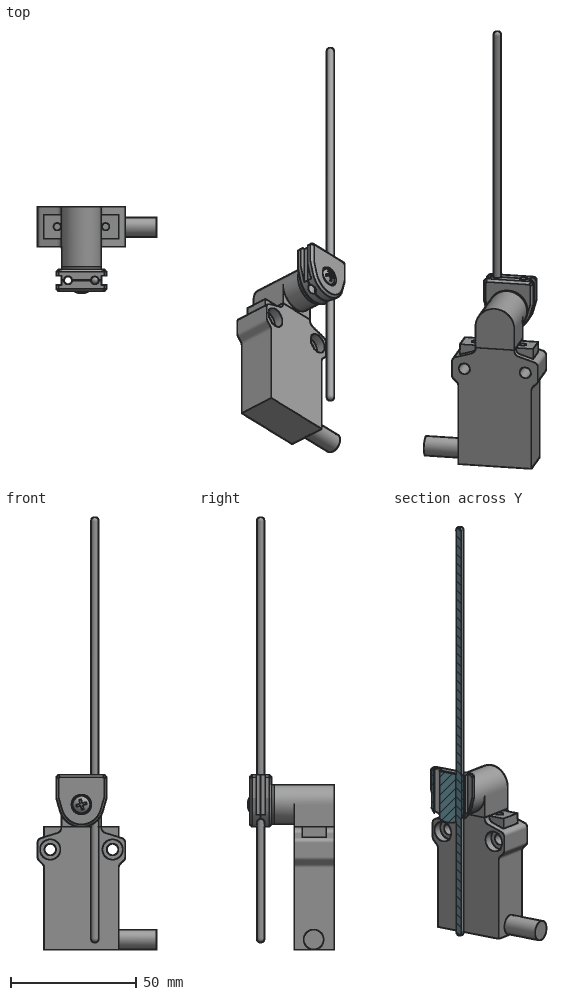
import cadquery as cq
import math


TOTAL_HEIGHT = 172.9

HOUSING_WIDTH = 29.9
HOUSING_DEPTH = 16.0
HOUSING_TOP = 49.3

HEAD_RADIUS = 8.0
HEAD_LENGTH = 24.0
AXIS_Z = 58.0

EAR_SPAN = 35.1
EAR_TOP_SLOPE = 17.0
EAR_LOWER_CORNER_Z = 36.3
EAR_ROUNDING = 1.9
NECK_CORNER_Z = 47.2
NECK_FILLET = 2.5

MOUNT_HOLE_X = 12.5
MOUNT_HOLE_Z = 40.1
MOUNT_HOLE_DIAMETER = 4.5
MOUNT_BORE_DIAMETER = 8.1
MOUNT_BORE_DEPTH = 4.0

BLOCK_DEPTH = 9.7
BLOCK_HOLE_X = 9.7
BLOCK_HOLE_DIAMETER = 3.0
BLOCK_HOLE_DEPTH = 1.7

CABLE_DIAMETER = 8.0
CABLE_LENGTH = 15.0
CABLE_Y = -8.3
CABLE_Z = 4.1

HUB_LENGTH = 1.0
CLAMP_WIDTH = 20.2
CLAMP_TOP = 70.0
CLAMP_SHOULDER_Z = 60.7
CLAMP_END_RADIUS = 9.0
CLAMP_THICKNESS = 8.8
CLAMP_GAP = 0.2
CLAMP_CHAMFER = 1.0
CLAMP_WAIST_WIDTH = 16.0
CLAMP_GROOVE_WIDTH = 3.6

ROD_DIAMETER = 3.1
ROD_X = 5.4
ROD_BOTTOM = 3.0

SCREW_RECESS_DIAMETER = 8.0
SCREW_RECESS_DEPTH = 1.7
SCREW_HEAD_DIAMETER = 7.0
SCREW_RISE = 0.9
SCREW_DOME_HEIGHT = 1.4
CROSS_LENGTH = 4.1
CROSS_WIDTH = 0.9
CROSS_DEPTH = 1.0
CROSS_ANGLE = 15.0

HALF_WIDTH = HOUSING_WIDTH / 2
HALF_EAR_SPAN = EAR_SPAN / 2
HOUSING_MID_Y = -HOUSING_DEPTH / 2
CLAMP_BACK_Y = -(HEAD_LENGTH + HUB_LENGTH)
CLAMP_SPLIT_Y = CLAMP_BACK_Y - CLAMP_THICKNESS / 2
CLAMP_FRONT_Y = CLAMP_BACK_Y - CLAMP_THICKNESS


def cylinder_along_y(x, z, diameter, start_y, length):
    """Cylinder that runs from start_y towards -Y."""
    return cq.Workplane("XZ", origin=(x, start_y, z)).circle(diameter / 2).extrude(length)


def block(x_size, y_size, z_size, center):
    return cq.Workplane("XY").box(x_size, y_size, z_size).translate(center)


def make_housing_shell():
    slope_drop = (HALF_EAR_SPAN - HEAD_RADIUS) * math.tan(math.radians(EAR_TOP_SLOPE))
    ear_undercut = HALF_EAR_SPAN - HALF_WIDTH
    right_side = [
        (HALF_WIDTH, 0),
        (HALF_WIDTH, EAR_LOWER_CORNER_Z - ear_undercut),
        (HALF_EAR_SPAN, EAR_LOWER_CORNER_Z),
        (HALF_EAR_SPAN, NECK_CORNER_Z - slope_drop),
        (HEAD_RADIUS, NECK_CORNER_Z),
        (HEAD_RADIUS, HOUSING_TOP),
    ]
    left_side = [(-x, z) for x, z in reversed(right_side)]
    shell = cq.Workplane("XZ").polyline(right_side + left_side).close().extrude(HOUSING_DEPTH)

    zone_split_z = (NECK_CORNER_Z + MOUNT_HOLE_Z + MOUNT_BORE_DIAMETER / 2) / 2
    lower_ear_z = EAR_LOWER_CORNER_Z / 2
    upper_neck_z = (NECK_CORNER_Z + HOUSING_TOP) / 2
    ear_zone = cq.selectors.BoxSelector(
        (-EAR_SPAN, -HOUSING_DEPTH, lower_ear_z), (EAR_SPAN, 0, zone_split_z)
    )
    neck_zone = cq.selectors.BoxSelector(
        (-EAR_SPAN, -HOUSING_DEPTH, zone_split_z), (EAR_SPAN, 0, upper_neck_z)
    )
    shell = shell.edges("|Y").edges(ear_zone).fillet(EAR_ROUNDING)
    return shell.edges("|Y").edges(neck_zone).fillet(NECK_FILLET)


def make_housing():
    housing = make_housing_shell()
    block_bottom = MOUNT_HOLE_Z + MOUNT_BORE_DIAMETER / 2
    block_height = HOUSING_TOP - block_bottom
    block_center = (0, HOUSING_MID_Y, block_bottom + block_height / 2)
    housing = housing.union(block(HOUSING_WIDTH, BLOCK_DEPTH, block_height, block_center))
    bore_floor_y = MOUNT_BORE_DEPTH - HOUSING_DEPTH
    for side in (-1, 1):
        mount_x = side * MOUNT_HOLE_X
        housing = housing.cut(
            cylinder_along_y(mount_x, MOUNT_HOLE_Z, MOUNT_HOLE_DIAMETER, 0, HOUSING_DEPTH)
        )
        housing = housing.cut(
            cylinder_along_y(mount_x, MOUNT_HOLE_Z, MOUNT_BORE_DIAMETER, bore_floor_y, MOUNT_BORE_DEPTH)
        )
        block_hole = (
            cq.Workplane("XY", origin=(side * BLOCK_HOLE_X, HOUSING_MID_Y, HOUSING_TOP))
            .circle(BLOCK_HOLE_DIAMETER / 2)
            .extrude(-BLOCK_HOLE_DEPTH)
        )
        housing = housing.cut(block_hole)
    return housing


def make_head():
    base_height = AXIS_Z - HOUSING_TOP
    base = block(
        2 * HEAD_RADIUS, HOUSING_DEPTH, base_height, (0, HOUSING_MID_Y, HOUSING_TOP + base_height / 2)
    )
    return base.union(cylinder_along_y(0, AXIS_Z, 2 * HEAD_RADIUS, 0, HEAD_LENGTH))


def make_cable():
    return (
        cq.Workplane("YZ", origin=(HALF_WIDTH, CABLE_Y, CABLE_Z))
        .circle(CABLE_DIAMETER / 2)
        .extrude(CABLE_LENGTH)
    )


def make_clamp_plate(start_y):
    """One half plate: straight sides, tapered tangentially into a round lower end."""
    half_width = CLAMP_WIDTH / 2
    shoulder_rise = CLAMP_SHOULDER_Z - AXIS_Z
    shoulder_distance = math.hypot(half_width, shoulder_rise)
    tangent_angle = math.atan2(shoulder_rise, half_width) - math.acos(CLAMP_END_RADIUS / shoulder_distance)
    tangent_x = CLAMP_END_RADIUS * math.cos(tangent_angle)
    tangent_z = AXIS_Z + CLAMP_END_RADIUS * math.sin(tangent_angle)
    return (
        cq.Workplane("XZ", origin=(0, start_y, 0))
        .moveTo(-half_width, CLAMP_SHOULDER_Z)
        .lineTo(-half_width, CLAMP_TOP - CLAMP_CHAMFER)
        .lineTo(-half_width + CLAMP_CHAMFER, CLAMP_TOP)
        .lineTo(half_width - CLAMP_CHAMFER, CLAMP_TOP)
        .lineTo(half_width, CLAMP_TOP - CLAMP_CHAMFER)
        .lineTo(half_width, CLAMP_SHOULDER_Z)
        .lineTo(tangent_x, tangent_z)
        .threePointArc((0, AXIS_Z - CLAMP_END_RADIUS), (-tangent_x, tangent_z))
        .close()
        .extrude((CLAMP_THICKNESS - CLAMP_GAP) / 2)
    )


def cut_grooves_and_rod_holes(plate):
    groove_depth = (CLAMP_WIDTH - CLAMP_WAIST_WIDTH) / 2
    groove_x = (CLAMP_WIDTH + CLAMP_WAIST_WIDTH) / 4
    for side in (-1, 1):
        plate = plate.cut(
            block(groove_depth, CLAMP_GROOVE_WIDTH, TOTAL_HEIGHT, (side * groove_x, CLAMP_SPLIT_Y, AXIS_Z))
        )
        plate = plate.cut(
            cq.Workplane("XY", origin=(side * ROD_X, CLAMP_SPLIT_Y, 0))
            .circle(ROD_DIAMETER / 2)
            .extrude(TOTAL_HEIGHT)
        )
    return plate


def make_back_clamp():
    plate = make_clamp_plate(CLAMP_BACK_Y).faces(">Y").edges().chamfer(CLAMP_CHAMFER)
    hub = cylinder_along_y(0, AXIS_Z, 2 * HEAD_RADIUS, -HEAD_LENGTH, HUB_LENGTH)
    return cut_grooves_and_rod_holes(plate).union(hub)


def make_front_clamp():
    plate = make_clamp_plate(CLAMP_SPLIT_Y - CLAMP_GAP / 2).faces("<Y").edges().chamfer(CLAMP_CHAMFER)
    recess_floor_y = CLAMP_FRONT_Y + SCREW_RECESS_DEPTH
    recess = cylinder_along_y(0, AXIS_Z, SCREW_RECESS_DIAMETER, recess_floor_y, SCREW_RECESS_DEPTH)
    return cut_grooves_and_rod_holes(plate).cut(recess)


def make_rod():
    radius = ROD_DIAMETER / 2
    length = TOTAL_HEIGHT - ROD_BOTTOM
    arc_offset = radius * math.sqrt(0.5)
    profile = (
        cq.Workplane("XZ")
        .threePointArc((arc_offset, radius - arc_offset), (radius, radius))
        .lineTo(radius, length - radius)
        .threePointArc((arc_offset, length - radius + arc_offset), (0, length))
        .close()
    )
    rod = profile.revolve(360, (0, 0, 0), (0, 1, 0))
    return rod.translate((ROD_X, CLAMP_SPLIT_Y, ROD_BOTTOM))


def make_screw():
    radius = SCREW_HEAD_DIAMETER / 2
    head_height = SCREW_RECESS_DEPTH + SCREW_RISE
    rim_height = head_height - SCREW_DOME_HEIGHT
    dome_radius = (radius**2 + SCREW_DOME_HEIGHT**2) / (2 * SCREW_DOME_HEIGHT)
    dome_center = head_height - dome_radius
    mid_x = radius / 2
    mid_height = dome_center + math.sqrt(dome_radius**2 - mid_x**2)
    head = (
        cq.Workplane("XY")
        .lineTo(radius, 0)
        .lineTo(radius, -rim_height)
        .threePointArc((mid_x, -mid_height), (0, -head_height))
        .close()
        .revolve(360, (0, 0, 0), (0, 1, 0))
    )
    for angle in (CROSS_ANGLE, CROSS_ANGLE + 90):
        slot = block(CROSS_LENGTH, 2 * CROSS_DEPTH, CROSS_WIDTH, (0, -head_height, 0))
        head = head.cut(slot.rotate((0, 0, 0), (0, 1, 0), -angle))
    return head.translate((0, CLAMP_FRONT_Y + SCREW_RECESS_DEPTH, AXIS_Z))


housing = make_housing()
head = make_head()
cable = make_cable()
back_clamp = make_back_clamp()
front_clamp = make_front_clamp()
rod = make_rod()
screw = make_screw()

result = cq.Compound.makeCompound(
    [
        housing.val(),
        head.val(),
        cable.val(),
        back_clamp.val(),
        front_clamp.val(),
        rod.val(),
        screw.val(),
    ]
)